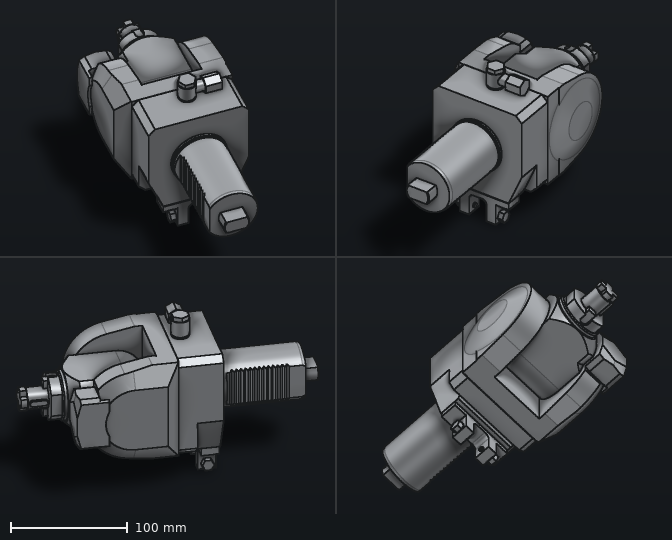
import cadquery as cq
import math


BLOCK_LENGTH = 39.5
BLOCK_HALF_WIDTH = 46.2
BLOCK_TOP = 46.0
BLOCK_BOTTOM = -46.5
BLOCK_CHAMFER = 6.0
FOOT_LENGTH = 23.0
FOOT_BOTTOM = -48.8
FOOT_HALF_WIDTH = 32.3
FOOT_TAPER_START = -16.2
FOOT_NOSE_CHAMFER = 2.3

SWIVEL_X = -80.0
FORK_RADIUS = 41.7
FORK_HALF_HEIGHT = 45.6
FORK_SLOPE = math.radians(10.6)
FORK_BACK = 47.0
FORK_FRONT = -58.2
FORK_BASE_BACK = 46.5
FRONT_FACE_RADIUS = 29.0
BEVEL_DEPTH = 11.5
BEVEL_RUN = FORK_HALF_HEIGHT - FRONT_FACE_RADIUS
SLOT_BACK = 24.3
SLOT_FRONT = -30.8
FRONT_ARM_NOSE_X = -110.9
CAP_TOP = 52.5
CAP_TOP_RADIUS = 17.7
CAP_BASE_RADIUS = 38.9

HEAD_RADIUS = 24.0
HEAD_NOSE_X = -131.2
HEAD_BEVEL_Y = -23.2
HEAD_BEVEL_Z = 15.7
HEAD_BEVEL_END = -109.0
HEAD_BEVEL_TIP = -104.0
NUT_NOSE_X = -131.7
NUT_TAIL_X = -103.3
NUT_FRONT = -60.8
NUT_SEAT_RADIUS = 26.3
NUT_EDGE_WIDTH = 5.2
NUT_EDGE_HEIGHT = 2.5
NUT_FACET_DEPTH = 5.2
NUT_FACET_ANGLE = math.radians(18)

RING_X = -135.5
RING_RADIUS = 22.2
RING_CHAMFER = 1.3
FLANGE_X = -145.3
FLANGE_RADIUS = 20.5
FLANGE_HALF_FLAT = 18.0
DRIVE_KEY_X = -149.2
DRIVE_KEY_END = -136.2
DRIVE_KEY_WIDTH = 8.0
DRIVE_KEY_BOTTOM = 10.0
DRIVE_KEY_TOP = 17.2
ARBOR_X = -163.8
ARBOR_RADIUS = 9.7
TIP_X = -169.8
TIP_RADIUS = 10.5
TIP_ARM_WIDTH = 7.8
FEATHER_START = -162.5
FEATHER_END = -146.5
FEATHER_WIDTH = 5.0
FEATHER_FRONT = -12.0

SHANK_END = 77.7
SHANK_RADIUS = 25.0
SHANK_CHAMFER_LENGTH = 3.0
SHANK_CHAMFER_DEPTH = 0.8
COLLAR_LENGTH = 2.3
COLLAR_RADIUS = 25.5
NECK_END = 4.0
NECK_RADIUS = 24.5
FLAT_START = 7.8
FLAT_Y = -19.8
TOOTH_COUNT = 13
TOOTH_FIRST_X = 13.0
TOOTH_ROW_LENGTH = 48.3
TOOTH_PITCH = TOOTH_ROW_LENGTH / (TOOTH_COUNT - 1)
TOOTH_DEPTH = 1.5
TANG_END = 91.0
TANG_RADIUS = 11.7
TANG_HALF_THICKNESS = 6.3
TANG_CHAMFER = 0.8

ELBOW_X = -28.2
ELBOW_NECK_TOP = 47.5
ELBOW_NECK_RADIUS = 7.3
ELBOW_BODY_TOP = 62.3
ELBOW_RADIUS = 8.0
ELBOW_TOP = 66.5
ELBOW_PIPE_Z = 55.0
ELBOW_PIPE_RADIUS = 5.5
ELBOW_NUT_START = 14.9
ELBOW_NUT_END = 30.0

BRACKET_START = -16.7
BRACKET_END = -0.8
BRACKET_BAR_BOTTOM = -55.8
BRACKET_BOTTOM = -76.5
BRACKET_HALF_WIDTH = 18.8
BRACKET_GAP = 18.0
BRACKET_GAP_TOP = -54.8
BRACKET_GAP_FILLET = 4.7
BOLT_Z = -70.7
BOLT_CORNER_RADIUS = 5.5
BOLT_HEAD_HEIGHT = 5.2
BOLT_TIP_RADIUS = 2.0
BOLT_TIP_LENGTH = 1.5


def box(x_range, y_range, z_range):
    """Box given by its limits along the three axes."""
    lows = (x_range[0], y_range[0], z_range[0])
    sizes = [r[1] - r[0] for r in (x_range, y_range, z_range)]
    return cq.Workplane("XY").box(*sizes, centered=False).translate(lows)


def rod_x(x_start, x_end, radius):
    """Cylinder around the shank axis."""
    return cq.Workplane("YZ", origin=(x_start, 0, 0)).circle(radius).extrude(x_end - x_start)


def prism_x(x_start, x_end, points):
    """Prism along X with a polygon given in (y, z)."""
    return cq.Workplane("YZ", origin=(x_start, 0, 0)).polyline(points).close().extrude(x_end - x_start)


def plane_facing_y(x, y, z):
    """Sketch plane whose local axes are X and Z, extruding toward +Y."""
    return cq.Workplane(cq.Plane(origin=(x, y, z), xDir=(1, 0, 0), normal=(0, 1, 0)))


def hexagon(corner_radius, first_angle):
    """Corners of a regular hexagon, the first at the given angle in degrees."""
    angles = [math.radians(first_angle + 60 * i) for i in range(6)]
    return [(corner_radius * math.cos(a), corner_radius * math.sin(a)) for a in angles]


def tetrahedron(corners):
    """Solid with four flat triangular faces."""
    vectors = [cq.Vector(*corner) for corner in corners]
    faces = []
    for skipped in range(4):
        triangle = [v for i, v in enumerate(vectors) if i != skipped]
        faces.append(cq.Face.makeFromWires(cq.Wire.makePolygon(triangle, close=True)))
    return cq.Workplane(cq.Solid.makeSolid(cq.Shell.makeShell(faces)))


def mounting_block():
    block = box((-BLOCK_LENGTH, 0), (-BLOCK_HALF_WIDTH, BLOCK_HALF_WIDTH), (BLOCK_BOTTOM, BLOCK_TOP))
    block = block.edges("|X").chamfer(BLOCK_CHAMFER)
    rear = box((-FOOT_LENGTH, 0), (-BLOCK_HALF_WIDTH, BLOCK_HALF_WIDTH), (FOOT_BOTTOM, FOOT_TAPER_START))
    foot = prism_x(-FOOT_LENGTH, 0, [
        (-BLOCK_HALF_WIDTH, FOOT_TAPER_START),
        (BLOCK_HALF_WIDTH, FOOT_TAPER_START),
        (FOOT_HALF_WIDTH, FOOT_BOTTOM),
        (-FOOT_HALF_WIDTH, FOOT_BOTTOM),
    ])
    foot = foot.faces("<Z").edges("<X").chamfer(FOOT_NOSE_CHAMFER)
    return block.cut(rear).union(foot)


def fork_plate(y_front, y_back):
    """Slice of the fork: round nose, two tangent slopes and flat top and bottom."""
    tangent_x = SWIVEL_X - FORK_RADIUS * math.sin(FORK_SLOPE)
    tangent_z = FORK_RADIUS * math.cos(FORK_SLOPE)
    shoulder_x = tangent_x + (FORK_HALF_HEIGHT - tangent_z) / math.tan(FORK_SLOPE)
    return (
        plane_facing_y(0, y_back, 0)
        .moveTo(-BLOCK_LENGTH, -FORK_HALF_HEIGHT)
        .lineTo(shoulder_x, -FORK_HALF_HEIGHT)
        .lineTo(tangent_x, -tangent_z)
        .threePointArc((SWIVEL_X - FORK_RADIUS, 0), (tangent_x, tangent_z))
        .lineTo(shoulder_x, FORK_HALF_HEIGHT)
        .lineTo(-BLOCK_LENGTH, FORK_HALF_HEIGHT)
        .close()
        .extrude(y_front - y_back)
    )


def front_arm_envelope():
    """Bevelled outline of the front arm: a cone around the swivel axis carried on toward the block."""
    depth = SLOT_FRONT - FORK_FRONT
    wide = FRONT_FACE_RADIUS + depth * BEVEL_RUN / BEVEL_DEPTH
    cone = cq.Workplane(cq.Solid.makeCone(
        FRONT_FACE_RADIUS, wide, depth, cq.Vector(SWIVEL_X, FORK_FRONT, 0), cq.Vector(0, 1, 0)
    ))
    wedge = prism_x(SWIVEL_X, -BLOCK_LENGTH, [
        (FORK_FRONT, -FRONT_FACE_RADIUS),
        (FORK_FRONT, FRONT_FACE_RADIUS),
        (SLOT_FRONT, wide),
        (SLOT_FRONT, -wide),
    ])
    overhang = FORK_FRONT + BLOCK_HALF_WIDTH
    corner = (
        cq.Workplane("XY")
        .polyline([
            (-BLOCK_LENGTH + overhang, FORK_FRONT),
            (-BLOCK_LENGTH, FORK_FRONT),
            (-BLOCK_LENGTH, -BLOCK_HALF_WIDTH),
        ])
        .close()
        .extrude(FORK_HALF_HEIGHT, both=True)
    )
    nose_relief = box((SWIVEL_X - wide, FRONT_ARM_NOSE_X), (FORK_FRONT, SLOT_FRONT), (-wide, wide))
    cone_rear = box((SWIVEL_X, SWIVEL_X + wide), (FORK_FRONT, SLOT_FRONT), (-wide, wide))
    return cone.cut(cone_rear).union(wedge).cut(corner).cut(nose_relief)


def fork():
    slot_end = SWIVEL_X + HEAD_RADIUS
    shoulder_limit = (slot_end, -BLOCK_LENGTH)
    full_height = (-FORK_HALF_HEIGHT, FORK_HALF_HEIGHT)
    back_arm = fork_plate(SLOT_BACK, FORK_BACK)
    back_arm = back_arm.cut(box(shoulder_limit, (FORK_BASE_BACK, FORK_BACK), full_height))
    web = box(shoulder_limit, (SLOT_FRONT, SLOT_BACK), full_height)
    front_arm = fork_plate(FORK_FRONT, SLOT_FRONT).intersect(front_arm_envelope())
    cap = cq.Workplane(cq.Solid.makeCone(
        CAP_BASE_RADIUS, CAP_TOP_RADIUS, CAP_TOP - FORK_BASE_BACK,
        cq.Vector(SWIVEL_X, FORK_BASE_BACK, 0), cq.Vector(0, 1, 0),
    ))
    return back_arm.union(web).union(front_arm).union(cap)


def swivel_head():
    width = SLOT_BACK - SLOT_FRONT
    barrel = plane_facing_y(SWIVEL_X, SLOT_FRONT, 0).circle(HEAD_RADIUS).extrude(width)
    body = box((HEAD_NOSE_X, SWIVEL_X), (SLOT_FRONT, SLOT_BACK), (-HEAD_RADIUS, HEAD_RADIUS))

    length = SWIVEL_X - HEAD_NOSE_X
    nose_cone = cq.Workplane(cq.Solid.makeCone(
        HEAD_RADIUS, HEAD_RADIUS + length, length, cq.Vector(HEAD_NOSE_X, 0, 0), cq.Vector(1, 0, 0)
    ))
    body = body.intersect(nose_cone)

    for side in (-1, 1):
        profile = [
            (HEAD_BEVEL_Y, side * HEAD_RADIUS),
            (SLOT_FRONT, side * HEAD_RADIUS),
            (SLOT_FRONT, side * HEAD_BEVEL_Z),
        ]
        body = body.cut(prism_x(HEAD_NOSE_X, HEAD_BEVEL_END, profile))
        end_corners = [(HEAD_BEVEL_END, y, z) for y, z in profile]
        body = body.cut(tetrahedron(end_corners + [(HEAD_BEVEL_TIP, SLOT_FRONT, side * HEAD_RADIUS)]))
    return body.union(barrel)


def clamp_nut():
    y_mid = (SLOT_FRONT + NUT_FRONT) / 2
    half_width = (SLOT_FRONT - NUT_FRONT) / 2
    shoulder = half_width - NUT_EDGE_WIDTH
    side_height = HEAD_RADIUS - NUT_EDGE_HEIGHT
    outline = [
        (-half_width, -side_height),
        (-shoulder, -HEAD_RADIUS),
        (shoulder, -HEAD_RADIUS),
        (half_width, -side_height),
        (half_width, side_height),
        (shoulder, HEAD_RADIUS),
        (-shoulder, HEAD_RADIUS),
        (-half_width, side_height),
    ]
    length = NUT_TAIL_X - NUT_NOSE_X
    plane = cq.Workplane("YZ", origin=(NUT_NOSE_X, y_mid, 0))
    body = plane.polyline(outline).close().extrude(length)

    corner_radius = half_width / math.cos(math.radians(30))
    growth = NUT_FACET_DEPTH / math.tan(NUT_FACET_ANGLE) / math.cos(math.radians(30))
    facets = (
        plane.polyline(hexagon(corner_radius, 90)).close()
        .workplane(offset=NUT_FACET_DEPTH)
        .polyline(hexagon(corner_radius + growth, 90)).close()
        .loft(ruled=True)
    )
    tail = box(
        (NUT_NOSE_X + NUT_FACET_DEPTH, NUT_TAIL_X), (NUT_FRONT, SLOT_FRONT), (-HEAD_RADIUS, HEAD_RADIUS)
    )
    body = body.intersect(facets.union(tail))

    seat = plane_facing_y(SWIVEL_X, NUT_FRONT, 0).circle(NUT_SEAT_RADIUS).extrude(FORK_FRONT - NUT_FRONT)
    behind_nose = box(
        (FRONT_ARM_NOSE_X, NUT_TAIL_X), (FORK_FRONT, SLOT_FRONT), (-HEAD_RADIUS, HEAD_RADIUS)
    )
    return body.cut(seat).cut(behind_nose)


def spindle():
    ring = rod_x(RING_X, HEAD_NOSE_X, RING_RADIUS).faces("<X").chamfer(RING_CHAMFER)
    flange = rod_x(FLANGE_X, RING_X, FLANGE_RADIUS)
    flat_limits = (-FLANGE_HALF_FLAT, FLANGE_HALF_FLAT)
    flange = flange.intersect(box((FLANGE_X, RING_X), flat_limits, (-FLANGE_RADIUS, FLANGE_RADIUS)))
    body = ring.union(flange).union(rod_x(ARBOR_X, FLANGE_X, ARBOR_RADIUS))

    half_key = DRIVE_KEY_WIDTH / 2

    def key_shape(side, top):
        return (
            cq.Workplane("XY", origin=(0, 0, side * DRIVE_KEY_BOTTOM))
            .moveTo(DRIVE_KEY_X, -half_key)
            .lineTo(DRIVE_KEY_END - half_key, -half_key)
            .threePointArc((DRIVE_KEY_END, 0), (DRIVE_KEY_END - half_key, half_key))
            .lineTo(DRIVE_KEY_X, half_key)
            .close()
            .extrude(side * (top - DRIVE_KEY_BOTTOM))
        )

    for side in (-1, 1):
        body = body.cut(key_shape(side, RING_RADIUS)).union(key_shape(side, DRIVE_KEY_TOP))

    half_arm = TIP_ARM_WIDTH / 2
    arm = box((TIP_X, ARBOR_X), (-TIP_RADIUS, TIP_RADIUS), (-half_arm, half_arm))
    cross = arm.union(arm.rotate((0, 0, 0), (1, 0, 0), 90))
    body = body.union(rod_x(TIP_X, ARBOR_X, TIP_RADIUS).intersect(cross))

    feather = (
        plane_facing_y((FEATHER_START + FEATHER_END) / 2, FEATHER_FRONT, 0)
        .slot2D(FEATHER_END - FEATHER_START, FEATHER_WIDTH)
        .extrude(-FEATHER_FRONT)
    )
    return body.union(feather)


def shank():
    body = rod_x(NECK_END, SHANK_END, SHANK_RADIUS)
    body = body.faces(">X").chamfer(SHANK_CHAMFER_LENGTH, SHANK_CHAMFER_DEPTH)
    body = body.union(rod_x(0, NECK_END, NECK_RADIUS)).union(rod_x(0, COLLAR_LENGTH, COLLAR_RADIUS))
    body = body.cut(box(
        (FLAT_START, SHANK_END), (-SHANK_RADIUS, FLAT_Y), (-SHANK_RADIUS, SHANK_RADIUS)
    ))

    half_pitch = TOOTH_PITCH / 2
    for i in range(TOOTH_COUNT):
        x = TOOTH_FIRST_X + i * TOOTH_PITCH
        groove = (
            cq.Workplane("XY")
            .polyline([(x - half_pitch, FLAT_Y), (x, FLAT_Y + TOOTH_DEPTH), (x + half_pitch, FLAT_Y)])
            .close()
            .extrude(SHANK_RADIUS, both=True)
        )
        body = body.cut(groove)

    tang = rod_x(SHANK_END, TANG_END, TANG_RADIUS).faces(">X").chamfer(TANG_CHAMFER)
    tang = tang.intersect(box(
        (SHANK_END, TANG_END), (-TANG_RADIUS, TANG_RADIUS), (-TANG_HALF_THICKNESS, TANG_HALF_THICKNESS)
    ))
    return body.union(tang)


def coolant_elbow():
    def at_height(z):
        return cq.Workplane("XY", origin=(ELBOW_X, 0, z))

    neck = at_height(BLOCK_TOP).circle(ELBOW_NECK_RADIUS).extrude(ELBOW_NECK_TOP - BLOCK_TOP)
    body = at_height(ELBOW_NECK_TOP).circle(ELBOW_RADIUS).extrude(ELBOW_BODY_TOP - ELBOW_NECK_TOP)
    head = at_height(ELBOW_BODY_TOP).polyline(hexagon(ELBOW_RADIUS, 90)).close()
    head = head.extrude(ELBOW_TOP - ELBOW_BODY_TOP)
    pipe = plane_facing_y(ELBOW_X, 0, ELBOW_PIPE_Z).circle(ELBOW_PIPE_RADIUS).extrude(ELBOW_NUT_START)
    nut = plane_facing_y(ELBOW_X, ELBOW_NUT_START, ELBOW_PIPE_Z).polyline(hexagon(ELBOW_RADIUS, 90)).close()
    nut = nut.extrude(ELBOW_NUT_END - ELBOW_NUT_START)
    return neck.union(body).union(head).union(pipe).union(nut)


def coolant_bracket():
    thickness = (BRACKET_START, BRACKET_END)
    bar = box(thickness, (-FOOT_HALF_WIDTH, FOOT_HALF_WIDTH), (BRACKET_BAR_BOTTOM, FOOT_BOTTOM))
    legs = box(thickness, (-BRACKET_HALF_WIDTH, BRACKET_HALF_WIDTH), (BRACKET_BOTTOM, FOOT_BOTTOM))
    half_gap = BRACKET_GAP / 2
    gap = box(thickness, (-half_gap, half_gap), (BRACKET_BOTTOM, BRACKET_GAP_TOP))
    gap = gap.faces(">Z").edges("|X").fillet(BRACKET_GAP_FILLET)
    bracket = bar.union(legs).cut(gap)

    bolt_x = (BRACKET_START + BRACKET_END) / 2
    for side in (-1, 1):
        head = plane_facing_y(bolt_x, side * BRACKET_HALF_WIDTH, BOLT_Z)
        head = head.polyline(hexagon(BOLT_CORNER_RADIUS, 0)).close().extrude(side * BOLT_HEAD_HEIGHT)
        tip = plane_facing_y(bolt_x, side * half_gap, BOLT_Z)
        tip = tip.circle(BOLT_TIP_RADIUS).extrude(-side * BOLT_TIP_LENGTH)
        bracket = bracket.union(head).union(tip)
    return bracket


result = mounting_block()
for feature in (fork, swivel_head, clamp_nut, spindle, shank, coolant_elbow, coolant_bracket):
    result = result.union(feature())